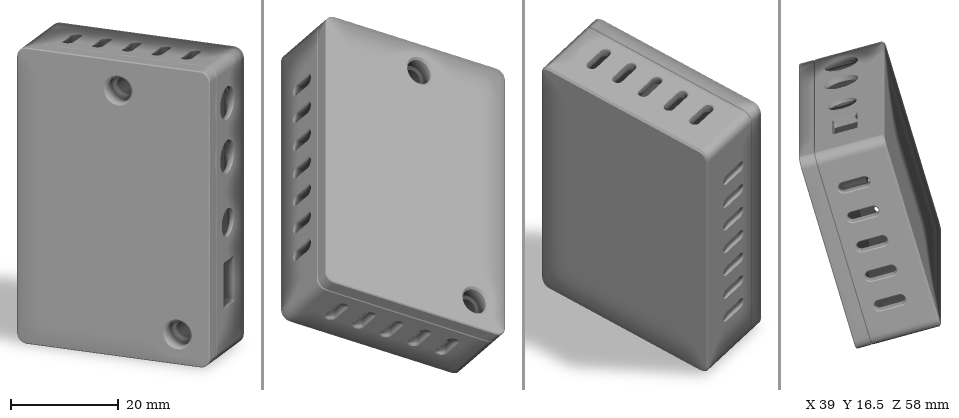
import cadquery as cq

width = 39.0
depth = 16.5
height = 58.0
corner_radius = 2.0
wall = 2.0
back_y = depth / 2
front_y = -depth / 2
lid_thickness = 3.0
seam_y = front_y + lid_thickness
wall_inner_x = width / 2 - wall

back_chamfer = 0.4
rim_chamfer = 0.2
hole_chamfer = 0.4

vent_length = 6.0
vent_width = 2.0
vent_y = 0.35
side_vent_count = 7
side_vent_span = 36.0
vent_pitch = side_vent_span / (side_vent_count - 1)
vent_reach = 1.5 * wall
end_vent_count = 5

screw_places = [(1.0, 23.1), (13.0, -23.1)]
post_side = 6.5
post_end_y = 2.5
head_depth = 2.9
head_diameter = 5.0
clearance_diameter = 3.3
boss_end_y = 4.05
pilot_diameter = 2.8
pilot_depth = 3.5

jack_y = 0.0
jack_diameter = 6.5
jack_zs = [20.55, 10.05]
jack_pocket_margin = 3.95
jack_pocket_back_y = 3.0
power_diameter = 5.5
power_y = 0.25
power_z = -2.9
power_chamfer = 0.25
power_pocket_top = 0.8
power_pocket_bottom = -5.9
power_pocket_back_y = 4.4
pocket_depth = 1.0
socket_back_y = 3.2
socket_front_y = -1.75
socket_bottom = -19.25
socket_height = 9.0
socket_radius = 0.5


def plane_facing_back(x, y, z):
    """Plane at the given point whose normal is +Y and whose local axes are Z and X."""
    return cq.Plane(origin=(x, y, z), xDir=(0, 0, 1), normal=(0, 1, 0))


def plane_facing_right(x, y, z):
    """Plane at the given point whose normal is +X and whose local axes are Y and Z."""
    return cq.Plane(origin=(x, y, z), xDir=(0, 1, 0), normal=(1, 0, 0))


def rounded_block(y_start, y_end):
    """Block over the full case outline, with its four long edges rounded."""
    block = cq.Workplane(plane_facing_back(0, y_start, 0)).rect(height, width).extrude(y_end - y_start)
    return block.edges("|Y").fillet(corner_radius)


def cylinder_y(place, y_start, y_end, diameter):
    """Cylinder along Y at an (x, z) place."""
    x, z = place
    return cq.Workplane(plane_facing_back(x, y_start, z)).circle(diameter / 2).extrude(y_end - y_start)


def square_post(place, y_start, y_end):
    """Square post along Y at an (x, z) place."""
    x, z = place
    return cq.Workplane(plane_facing_back(x, y_start, z)).rect(post_side, post_side).extrude(y_end - y_start)


def mouth_y(place, y_mouth, diameter):
    """Cone that chamfers the mouth of a hole running toward +Y from y_mouth."""
    x, z = place
    plane = plane_facing_back(x, y_mouth, z)
    return cq.Workplane(plane).circle(diameter / 2 + hole_chamfer).extrude(hole_chamfer, taper=45)


def vent_cutter(plane):
    """Slot with a chamfered mouth, cut from the plane along its normal; its length is along local X."""
    slot = cq.Workplane(plane).slot2D(vent_length, vent_width).extrude(vent_reach)
    rim_length = vent_length + 2 * rim_chamfer
    rim_width = vent_width + 2 * rim_chamfer
    mouth = cq.Workplane(plane).slot2D(rim_length, rim_width).extrude(rim_chamfer, taper=45)
    return slot.union(mouth)


def vent_offsets(count):
    """Centred positions of a row of vents."""
    return [(i - (count - 1) / 2) * vent_pitch for i in range(count)]


def cut_vents(body):
    """Vents in the -X, +Z and -Z walls."""
    for z in vent_offsets(side_vent_count):
        plane = plane_facing_right(-width / 2, vent_y, z)
        body = body.cut(vent_cutter(plane))
    for x in vent_offsets(end_vent_count):
        for side in (1, -1):
            plane = cq.Plane(origin=(x, vent_y, side * height / 2), xDir=(0, 1, 0), normal=(0, 0, -side))
            body = body.cut(vent_cutter(plane))
    return body


def pocket_cutter(z_bottom, z_top, y_back):
    """Pocket in the inner face of the +X wall, open to the seam, with a chamfered mouth."""
    y_front = seam_y - wall
    plane = plane_facing_right(wall_inner_x, (y_back + y_front) / 2, (z_bottom + z_top) / 2)
    length = y_back - y_front
    rise = z_top - z_bottom
    pocket = cq.Workplane(plane).rect(length, rise).extrude(pocket_depth)
    mouth = (
        cq.Workplane(plane)
        .rect(length + 2 * hole_chamfer, rise + 2 * hole_chamfer)
        .extrude(hole_chamfer, taper=45)
    )
    return pocket.union(mouth)


def cylinder_x(y, z, diameter):
    """Cylinder through the +X wall at the place of a connector."""
    plane = plane_facing_right(wall_inner_x, y, z)
    return cq.Workplane(plane).circle(diameter / 2).extrude(2 * wall)


def cut_jacks(body):
    """Two round jack openings that share one pocket."""
    pocket_bottom = min(jack_zs) - jack_pocket_margin
    pocket_top = max(jack_zs) + jack_pocket_margin
    body = body.cut(pocket_cutter(pocket_bottom, pocket_top, jack_pocket_back_y))
    for z in jack_zs:
        body = body.cut(cylinder_x(jack_y, z, jack_diameter))
    return body


def cut_power(body):
    """Round power opening in its own pocket, chamfered at the pocket floor."""
    body = body.cut(pocket_cutter(power_pocket_bottom, power_pocket_top, power_pocket_back_y))
    floor = plane_facing_right(wall_inner_x + pocket_depth, power_y, power_z)
    chamfer = cq.Workplane(floor).circle(power_diameter / 2 + power_chamfer).extrude(power_chamfer, taper=45)
    return body.cut(cylinder_x(power_y, power_z, power_diameter)).cut(chamfer)


def cut_socket(body):
    """Rectangular socket opening with rounded corners and a chamfered inner edge."""
    middle_y = (socket_back_y + socket_front_y) / 2
    plane = plane_facing_right(wall_inner_x, middle_y, socket_bottom + socket_height / 2)
    length = socket_back_y - socket_front_y
    opening = cq.Workplane(plane).rect(length, socket_height).extrude(2 * wall)
    opening = opening.edges("|X").fillet(socket_radius)
    outline = cq.Sketch().rect(length + 2 * rim_chamfer, socket_height + 2 * rim_chamfer)
    outline = outline.vertices().fillet(socket_radius + rim_chamfer)
    mouth = cq.Workplane(plane).placeSketch(outline).extrude(rim_chamfer, taper=45)
    return body.cut(opening).cut(mouth)


def make_housing():
    """Box open at the seam, with vents, connector openings and screw bosses on its back wall."""
    body = rounded_block(seam_y, back_y)
    body = body.faces(">Y").chamfer(back_chamfer)
    body = body.faces("<Y").chamfer(rim_chamfer)
    cavity = (
        cq.Workplane(plane_facing_back(0, seam_y, 0))
        .rect(height - 2 * wall, width - 2 * wall)
        .extrude(back_y - wall - seam_y)
    )
    body = body.cut(cavity)
    for place in screw_places:
        body = body.union(square_post(place, boss_end_y, back_y - wall / 2))
        body = body.cut(cylinder_y(place, boss_end_y, boss_end_y + pilot_depth, pilot_diameter))
        body = body.cut(mouth_y(place, boss_end_y, pilot_diameter))
    body = cut_vents(body)
    body = cut_jacks(body)
    body = cut_power(body)
    return cut_socket(body)


def make_lid():
    """Flat lid with two square posts, each with a counterbored screw hole from the front."""
    body = rounded_block(front_y, seam_y)
    body = body.faces("<Y or >Y").chamfer(rim_chamfer)
    for place in screw_places:
        post = square_post(place, front_y + lid_thickness / 2, post_end_y)
        body = body.union(post.faces(">Y").chamfer(rim_chamfer))
        body = body.cut(cylinder_y(place, front_y, front_y + head_depth, head_diameter))
        body = body.cut(cylinder_y(place, front_y, post_end_y, clearance_diameter))
        body = body.cut(mouth_y(place, front_y, head_diameter))
    return body


housing = make_housing()
lid = make_lid()

result = cq.Compound.makeCompound([housing.val(), lid.val()])